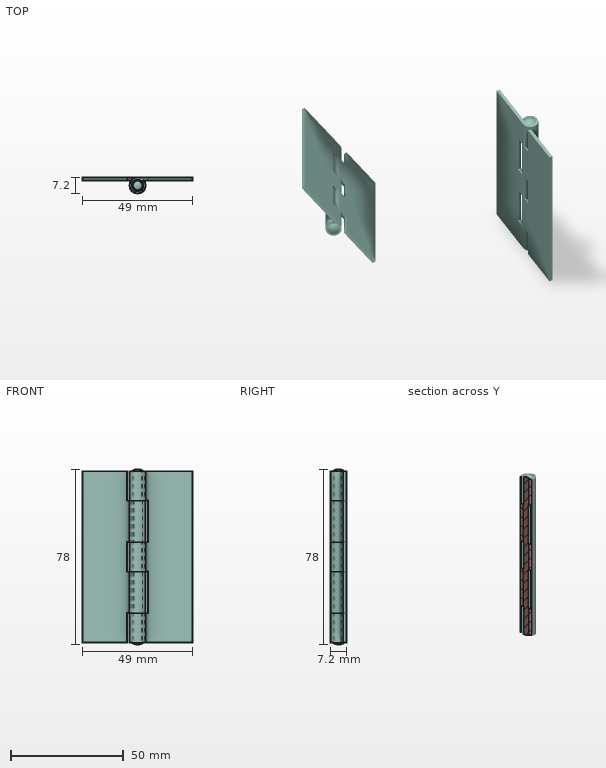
import cadquery as cq
import math

overall_width = 49.0
overall_height = 78.0
barrel_diameter = 7.2
sheet_thickness = 1.5
plate_inner_edge = 4.6
long_knuckle_length = 18.5
head_height = 0.9
head_radius = 2.6
curl_gap = 0.04

barrel_radius = barrel_diameter / 2
pin_radius = barrel_radius - sheet_thickness
plate_outer_edge = overall_width / 2
leaf_height = overall_height - 2 * head_height
leaf_top = leaf_height / 2
leaf_bottom = -leaf_top
short_knuckle_length = (leaf_height - 2 * long_knuckle_length) / 3
knuckle_pitch = short_knuckle_length + long_knuckle_length

right_knuckles = [
    (leaf_bottom + i * knuckle_pitch, short_knuckle_length) for i in range(3)
]
left_knuckles = [
    (leaf_bottom + short_knuckle_length + i * knuckle_pitch, long_knuckle_length) for i in range(2)
]


def polar_point(radius, angle):
    return (radius * math.cos(angle), radius * math.sin(angle))


def rolled_knuckle(bottom, length):
    """Strip from the plate edge, curled around the pin until it nearly meets its own underside."""
    end_angle = math.asin((pin_radius - curl_gap) / barrel_radius)
    middle_angle = (math.pi / 2 + end_angle + 2 * math.pi) / 2
    return (
        cq.Workplane("XY", origin=(0, 0, bottom))
        .moveTo(plate_inner_edge, barrel_radius)
        .lineTo(0, barrel_radius)
        .threePointArc(polar_point(barrel_radius, middle_angle), polar_point(barrel_radius, end_angle))
        .lineTo(*polar_point(pin_radius, end_angle))
        .threePointArc(polar_point(pin_radius, middle_angle), (0, pin_radius))
        .lineTo(plate_inner_edge, pin_radius)
        .close()
        .extrude(length)
    )


def make_leaf(knuckles):
    """Flat plate on the +X side with a rolled knuckle at each given place."""
    leaf = cq.Workplane("XY").box(
        plate_outer_edge - plate_inner_edge, sheet_thickness, leaf_height, centered=False
    ).translate((plate_inner_edge, pin_radius, leaf_bottom))
    for bottom, length in knuckles:
        leaf = leaf.union(rolled_knuckle(bottom, length))
    return leaf


def make_pin():
    """Pin with a shallow domed head at each end, wider than the shank."""
    pin_top = overall_height / 2
    dome_radius = (head_radius**2 + head_height**2) / (2 * head_height)
    mid_radius = head_radius / 2
    mid_height = pin_top - dome_radius + math.sqrt(dome_radius**2 - mid_radius**2)
    return (
        cq.Workplane("XZ")
        .moveTo(0, -pin_top)
        .threePointArc((mid_radius, -mid_height), (head_radius, leaf_bottom))
        .lineTo(pin_radius, leaf_bottom)
        .lineTo(pin_radius, leaf_top)
        .lineTo(head_radius, leaf_top)
        .threePointArc((mid_radius, mid_height), (0, pin_top))
        .close()
        .revolve(360, (0, 0, 0), (0, 1, 0))
    )


right_leaf = make_leaf(right_knuckles)
left_leaf = make_leaf(left_knuckles).mirror("YZ")
pin = make_pin()

result = cq.Compound.makeCompound([right_leaf.val(), left_leaf.val(), pin.val()])